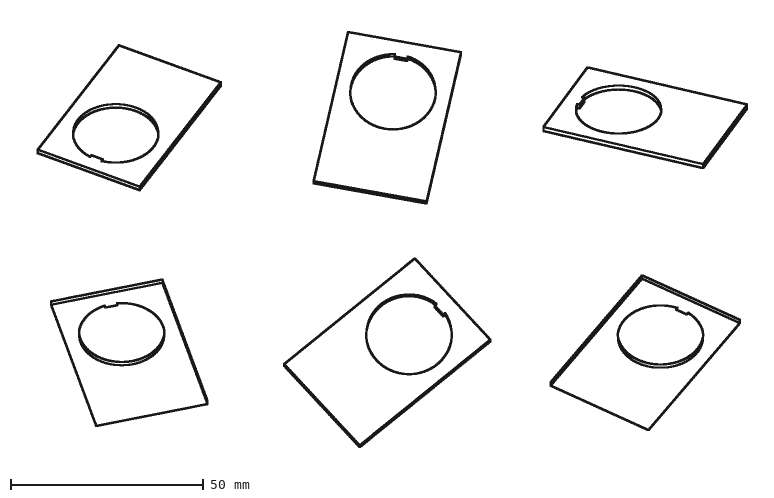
import cadquery as cq

plate_width = 30.0
plate_length = 45.0
plate_thickness = 1.3

hole_diameter = 22.25
hole_center_y = (plate_width - plate_length) / 2

tab_width = 3.38
tab_face_distance = 10.3


def make_plate():
    return cq.Workplane("XY").box(
        plate_width, plate_length, plate_thickness, centered=(True, True, False)
    )


def make_keyed_hole():
    """Round cutter with a notch that leaves the tab standing in the plate."""
    hole_radius = hole_diameter / 2
    cutter = (
        cq.Workplane("XY")
        .center(0, hole_center_y)
        .circle(hole_radius)
        .extrude(plate_thickness)
    )
    tab_depth = hole_radius - tab_face_distance
    tab_center_y = hole_center_y - tab_face_distance - tab_depth / 2
    tab = (
        cq.Workplane("XY")
        .center(0, tab_center_y)
        .rect(tab_width, tab_depth)
        .extrude(plate_thickness)
    )
    return cutter.cut(tab)


result = make_plate().cut(make_keyed_hole())